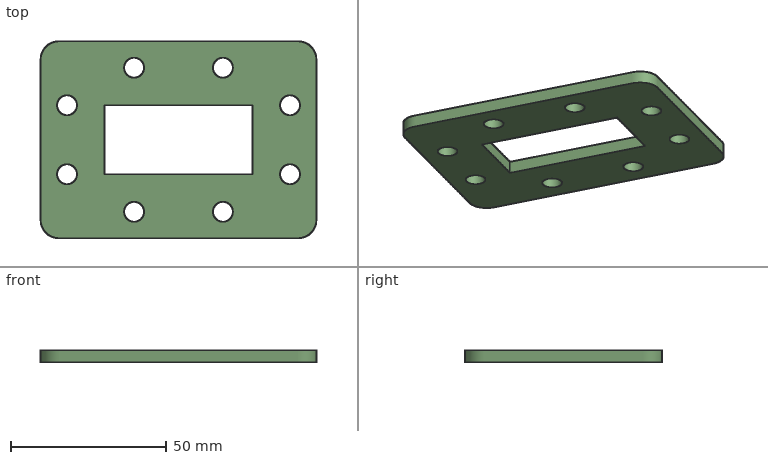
import cadquery as cq

plate_length = 88.9
plate_width = 63.5
plate_thickness = 4.0
corner_radius = 6.0

window_length = 47.55
window_width = 22.15

hole_diameter = 6.35
long_edge_spacing_x = 28.6
long_edge_spacing_y = 46.4
short_edge_spacing_x = 71.8
short_edge_spacing_y = 22.2


def make_plate():
    """Flat plate with rounded vertical corners, resting on Z = 0."""
    plate = cq.Workplane("XY").rect(plate_length, plate_width).extrude(plate_thickness)
    return plate.edges("|Z").fillet(corner_radius)


def make_window():
    """Sharp-cornered block that cuts the central opening."""
    return cq.Workplane("XY").rect(window_length, window_width).extrude(plate_thickness)


def make_hole_group(spacing_x, spacing_y):
    """Four through-hole cylinders at the corners of a centred rectangle."""
    corners = cq.Workplane("XY").rect(spacing_x, spacing_y, forConstruction=True).vertices()
    return corners.circle(hole_diameter / 2).extrude(plate_thickness)


result = (
    make_plate()
    .cut(make_window())
    .cut(make_hole_group(long_edge_spacing_x, long_edge_spacing_y))
    .cut(make_hole_group(short_edge_spacing_x, short_edge_spacing_y))
)